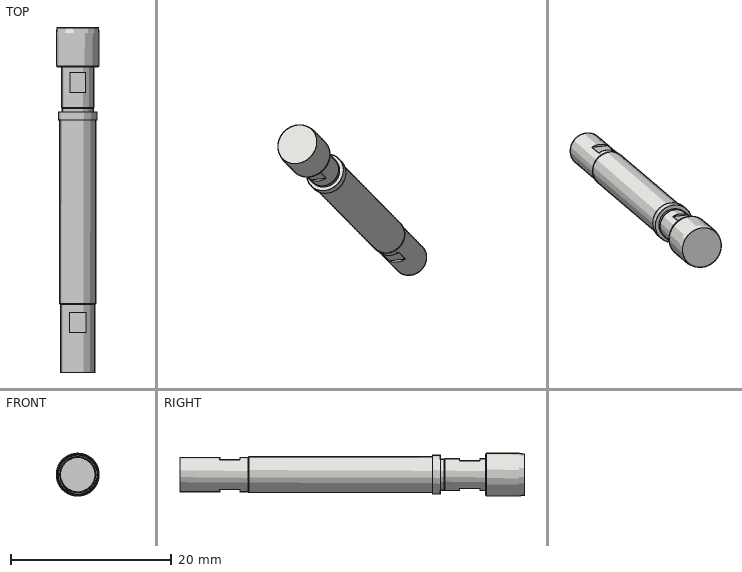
import cadquery as cq

TOTAL_LENGTH = 43.0
HEAD_END_Y = TOTAL_LENGTH / 2

HEAD_DIAMETER = 5.35
HEAD_END_DIAMETER = 5.15
NECK_DIAMETER = 4.0
BARREL_LIP_DIAMETER = 3.9
COLLAR_DIAMETER = 4.85
BARREL_DIAMETER = 4.5
TAIL_DIAMETER = 4.3

HEAD_TAPER_LENGTH = 0.7
HEAD_LENGTH = 4.9
NECK_END = 10.05
COLLAR_START = 10.5
COLLAR_LENGTH = 1.0
BARREL_END = 34.5

HEAD_CHAMFER = 0.15
NECK_STEP_LENGTH = 0.1
BARREL_CHAMFER = (BARREL_DIAMETER - TAIL_DIAMETER) / 2

FLAT_LENGTH = 2.5
NECK_ACROSS_FLATS = 3.5
TAIL_ACROSS_FLATS = 3.75
NECK_FLAT_START = 5.6
TAIL_FLAT_START = 35.5


def make_body():
    """Revolve the stepped half profile about the Y axis."""
    collar_end = COLLAR_START + COLLAR_LENGTH
    stations = [
        (0, 0),
        (0, HEAD_END_DIAMETER / 2),
        (HEAD_TAPER_LENGTH, HEAD_DIAMETER / 2),
        (HEAD_LENGTH - HEAD_CHAMFER, HEAD_DIAMETER / 2),
        (HEAD_LENGTH, HEAD_DIAMETER / 2 - HEAD_CHAMFER),
        (HEAD_LENGTH, NECK_DIAMETER / 2),
        (NECK_END - NECK_STEP_LENGTH, NECK_DIAMETER / 2),
        (NECK_END, BARREL_LIP_DIAMETER / 2),
        (COLLAR_START, BARREL_LIP_DIAMETER / 2),
        (COLLAR_START, COLLAR_DIAMETER / 2),
        (collar_end, COLLAR_DIAMETER / 2),
        (collar_end, BARREL_DIAMETER / 2),
        (BARREL_END - BARREL_CHAMFER, BARREL_DIAMETER / 2),
        (BARREL_END, TAIL_DIAMETER / 2),
        (TOTAL_LENGTH, TAIL_DIAMETER / 2),
        (TOTAL_LENGTH, 0),
    ]
    profile = [(radius, HEAD_END_Y - distance) for distance, radius in stations]
    return cq.Workplane("XY").polyline(profile).close().revolve(360, (0, 0, 0), (0, 1, 0))


def cut_flats(body, start, diameter, across_flats):
    """Cut two opposite flats into a round length of the body."""
    center_y = HEAD_END_Y - start - FLAT_LENGTH / 2
    cutter = cq.Workplane("XY").box(diameter, FLAT_LENGTH, diameter / 2, centered=(True, True, False))
    upper_cutter = cutter.translate((0, center_y, across_flats / 2))
    lower_cutter = upper_cutter.mirror("XY")
    return body.cut(upper_cutter).cut(lower_cutter)


result = make_body()
result = cut_flats(result, NECK_FLAT_START, NECK_DIAMETER, NECK_ACROSS_FLATS)
result = cut_flats(result, TAIL_FLAT_START, TAIL_DIAMETER, TAIL_ACROSS_FLATS)